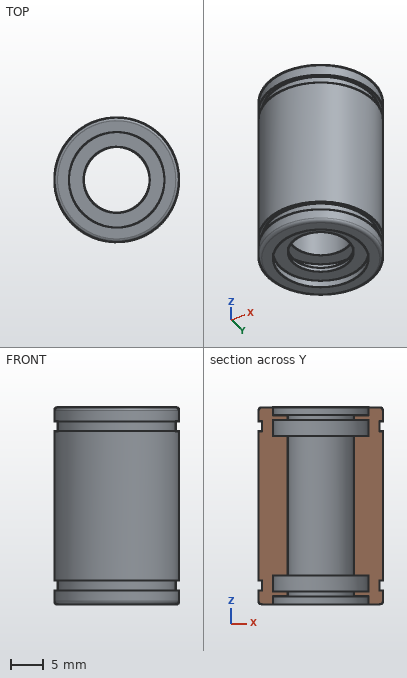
import cadquery as cq

length = 30.0
outer_diameter = 19.0
bore_diameter = 10.0
rim_round = 0.5

groove_diameter = 18.0
groove_offset = 2.15
groove_width = 1.47

counterbore_diameter = 14.52
recess_depth = 1.23
lip_thickness = 0.75
chamber_height = 2.4


def cylinder(diameter, bottom, height):
    """Solid cylinder on the Z axis, starting at the given level."""
    return cq.Workplane("XY").workplane(offset=bottom).circle(diameter / 2).extrude(height)


def end_cuts(depth, height, diameter):
    """Matching cylinders at the given depth below the top and above the bottom."""
    lower = cylinder(diameter, depth, height)
    upper = cylinder(diameter, length - depth - height, height)
    return lower.union(upper)


result = cylinder(outer_diameter, 0, length).faces("|Z").edges().fillet(rim_round)

groove_outside = end_cuts(groove_offset, groove_width, outer_diameter)
groove_core = end_cuts(groove_offset, groove_width, groove_diameter)
result = result.cut(groove_outside.cut(groove_core))

result = result.cut(cylinder(bore_diameter, 0, length))

result = result.cut(end_cuts(0, recess_depth, counterbore_diameter))
result = result.cut(end_cuts(recess_depth + lip_thickness, chamber_height, counterbore_diameter))